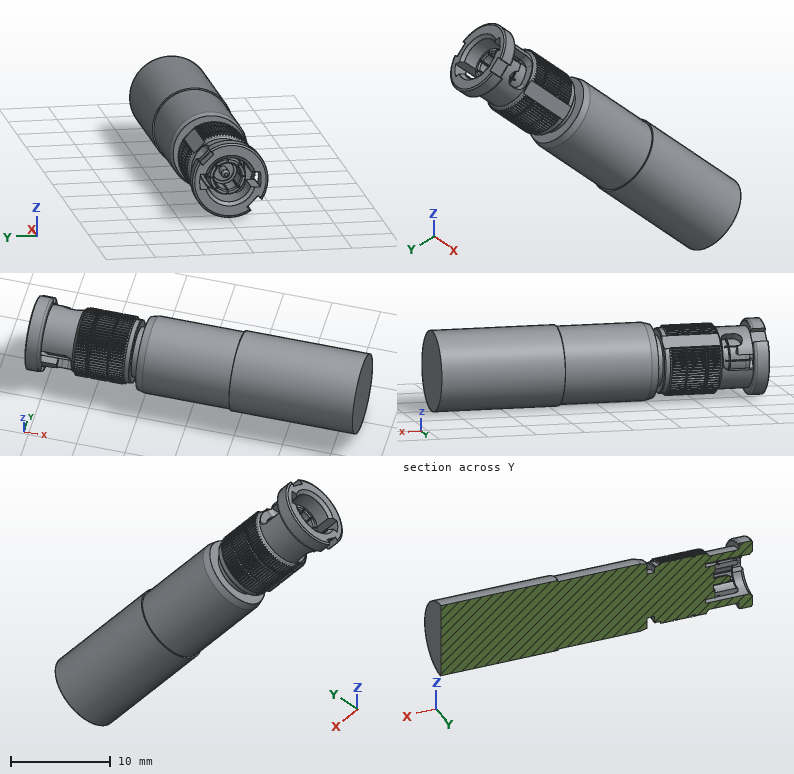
import cadquery as cq
import math

total_length = 33.97

flange_radius = 3.85
flange_length = 1.53
flange_chamfer_length = 0.1
flange_chamfer_drop = 0.2
flange_rear_round = 0.25

barrel_radius = 3.13
bore_radius = 2.28
bore_mouth_radius = 2.6
bore_mouth_length = 0.35
bore_depth = 5.1

grip_start = 4.75
grip_end = 10.75
grip_radius = 3.3
grip_rear_chamfer = 0.1
knurl_radius = 3.53
knurl_start = 4.9
knurl_end = 10.15
knurl_chamfer = 0.2
tooth_count = 72
tooth_depth = 0.15
tooth_crest_share = 0.3
groove_depth = 0.17
ring_grooves = ((6.2, 6.32), (6.4, 6.62), (8.35, 8.6))

notch_width = 1.55
notch_floor = 3.2
notch_angle = 45.0

track_width = 1.55
track_end = 4.65
track_sweep = 45.0
detent_start = 2.48

neck_radius = 2.58
sleeve_start = 11.48
sleeve_nose_radius = 3.75
sleeve_nose_length = 0.75
sleeve_radius = 3.95
step_position = 21.2
tail_diameter = 8.2
tail_radius = tail_diameter / 2

tube_front = 1.55
tube_radius = 1.9
tube_nose_length = 0.45
tube_nose_drop = 0.15
tube_nose_round = (tube_nose_length ** 2 + tube_nose_drop ** 2) / (2 * tube_nose_drop)
tube_mouth_radius = 1.5
tube_mouth_length = 0.17
tube_bore_radius = 1.35
tube_bore_depth = 4.08
tube_groove_start = 3.6
tube_groove_end = 3.75
tube_groove_depth = 0.1
slit_width = 0.15
slit_count = 8

recess_radius = 1.1
recess_depth = 0.17
pin_front = 2.38
pin_radius = 0.4
pin_tip_radius = 0.17
pin_tip_length = 0.4


def spun(outline):
    """Revolve a closed (x, radius) outline about the X axis."""
    return outline.revolve(360, (0, 0, 0), (1, 0, 0))


def turned(points):
    """Revolve straight-sided (x, radius) points about the X axis."""
    return spun(cq.Workplane("XY").polyline(points).close())


def cylinder(start, end, radius):
    """Cylinder on the X axis between two x positions."""
    return cq.Workplane("YZ", origin=(start, 0, 0)).circle(radius).extrude(end - start)


def turn(shape, angle):
    """Rotate a shape about the X axis."""
    return shape.rotate((0, 0, 0), (1, 0, 0), angle)


def body():
    """Turned outside shape without the knurl."""
    outline = (
        cq.Workplane("XY")
        .lineTo(0, flange_radius - flange_chamfer_drop)
        .lineTo(flange_chamfer_length, flange_radius)
        .lineTo(flange_length - flange_rear_round, flange_radius)
        .radiusArc((flange_length, flange_radius - flange_rear_round), flange_rear_round)
        .lineTo(flange_length, barrel_radius)
        .lineTo(grip_start, barrel_radius)
        .lineTo(knurl_start, grip_radius)
        .lineTo(grip_end - grip_rear_chamfer, grip_radius)
        .lineTo(grip_end, grip_radius - grip_rear_chamfer)
        .lineTo(grip_end, neck_radius)
        .lineTo(sleeve_start, neck_radius)
        .lineTo(sleeve_start, sleeve_nose_radius)
        .lineTo(sleeve_start + sleeve_nose_length, sleeve_radius)
        .lineTo(step_position, sleeve_radius)
        .lineTo(step_position, tail_radius)
        .lineTo(total_length, tail_radius)
        .lineTo(total_length, 0)
        .close()
    )
    return spun(outline)


def knurl():
    """Straight-toothed ring with chamfered ends and V grooves around it."""
    root_radius = knurl_radius - tooth_depth
    core_radius = grip_radius - tooth_depth
    pitch = 2 * math.pi / tooth_count
    half_pitch = 0.5
    half_crest = tooth_crest_share / 2
    corners = (
        (knurl_radius, -half_crest),
        (knurl_radius, half_crest),
        (root_radius, half_pitch),
    )
    outline = []
    for tooth in range(tooth_count):
        for radius, offset in corners:
            angle = (tooth + offset) * pitch
            outline.append((radius * math.cos(angle), radius * math.sin(angle)))
    length = knurl_end - knurl_start
    teeth = cq.Workplane("YZ", origin=(knurl_start, 0, 0)).polyline(outline).close().extrude(length)

    section = [
        (knurl_start, core_radius),
        (knurl_start, grip_radius),
        (knurl_start + knurl_chamfer, knurl_radius),
    ]
    for start, end in ring_grooves:
        section += [
            (start, knurl_radius),
            ((start + end) / 2, knurl_radius - groove_depth),
            (end, knurl_radius),
        ]
    section += [
        (knurl_end - knurl_chamfer, knurl_radius),
        (knurl_end, grip_radius),
        (knurl_end, core_radius),
    ]
    return turned(section).intersect(teeth)


def alignment_notch():
    """Cutter for one notch; its floor faces +Y before turning."""
    height = tail_radius - notch_floor
    notch = cq.Workplane("XY").box(grip_end, height, notch_width, centered=(False, False, True))
    return turn(notch.translate((0, notch_floor, 0)), notch_angle)


def front_bore():
    """Cutter for the bore with its conical mouth."""
    return turned([
        (0, 0),
        (0, bore_mouth_radius),
        (bore_mouth_length, bore_radius),
        (bore_depth, bore_radius),
        (bore_depth, 0),
    ])


def bayonet_track():
    """Cutter for one milled track: entry slot on +Y, a bend round the barrel, then a detent."""
    def round_ended_slot(start):
        slot = cq.Workplane("XZ").center((start + track_end) / 2, 0)
        return slot.slot2D(track_end - start, track_width).extrude(-barrel_radius)

    entry = round_ended_slot(-track_width)
    bend = (
        cq.Workplane("XY")
        .moveTo(track_end - track_width, 0)
        .rect(track_width, barrel_radius, centered=False)
        .revolve(track_sweep, (0, 0, 0), (1, 0, 0))
    )
    detent = turn(round_ended_slot(detent_start), track_sweep)
    reach = cylinder(0, track_end, barrel_radius)
    return entry.union(bend).union(detent).intersect(reach)


def contact_tube():
    """Contact tube with a rounded nose, a ring groove and lengthwise slits; closed at the back."""
    groove_floor = tube_radius - tube_groove_depth
    outline = (
        cq.Workplane("XY")
        .moveTo(tube_front, tube_mouth_radius)
        .lineTo(tube_front, tube_radius - tube_nose_drop)
        .radiusArc((tube_front + tube_nose_length, tube_radius), tube_nose_round)
        .lineTo(tube_groove_start, tube_radius)
        .lineTo(tube_groove_start, groove_floor)
        .lineTo(tube_groove_end, groove_floor)
        .lineTo(tube_groove_end, tube_radius)
        .lineTo(bore_depth, tube_radius)
        .lineTo(bore_depth, 0)
        .lineTo(tube_bore_depth, 0)
        .lineTo(tube_bore_depth, tube_bore_radius)
        .lineTo(tube_front + tube_mouth_length, tube_bore_radius)
        .close()
    )
    tube = spun(outline)
    slit_length = tube_bore_depth - tube_front
    slit = cq.Workplane("XY").box(slit_length, tube_radius, slit_width, centered=(False, False, True))
    slit = slit.translate((tube_front, 0, 0))
    for index in range(slit_count):
        tube = tube.cut(turn(slit, index * 360 / slit_count))
    return tube.cut(cylinder(tube_bore_depth, tube_bore_depth + recess_depth, recess_radius))


def centre_pin():
    """Pin with a tapered tip, standing on the bore floor."""
    return turned([
        (pin_front, 0),
        (pin_front, pin_tip_radius),
        (pin_front + pin_tip_length, pin_radius),
        (bore_depth, pin_radius),
        (bore_depth, 0),
    ])


shell = body().union(knurl()).cut(front_bore())
for half_turn in (0, 180):
    shell = shell.cut(turn(alignment_notch(), half_turn))
    shell = shell.cut(turn(bayonet_track(), half_turn))

result = shell.union(contact_tube()).union(centre_pin())